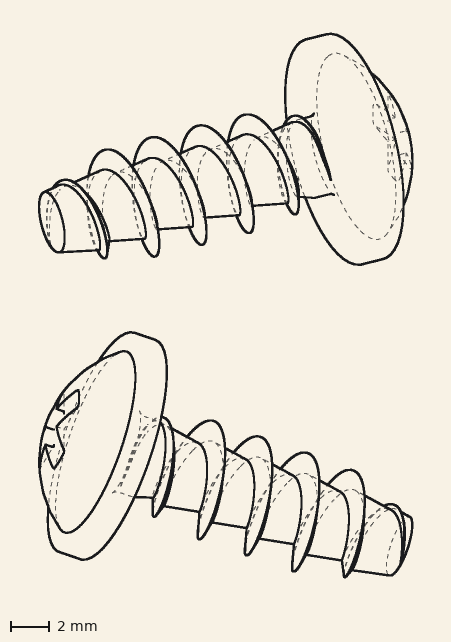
import cadquery as cq
import math


flange_radius = 6.0
flange_thickness = 1.35
flange_edge_fillet = 0.1
dome_base_radius = 4.95
dome_apex = 3.95
slot_width = 1.37
slot_floor = 3.42
slot_floor_fillet = 0.1

neck_radius = 2.07
neck_fillet = 0.75
neck_depth = 1.53
neck_cone_depth = 2.76
neck_cone_radius = 1.7

tip_radius = 1.6
tip_face_radius = 1.5
tip_rim_depth = 15.93
tip_apex_depth = 15.99
tip_cone_slope = 0.18

pitch = 2.68
thread_radius = 3.02
crest_width = 0.02
first_crest_depth = 1.89
run_in_turn = -0.4
run_in_radius = 2.15
full_start_turn = 0.9
fade_start_turn = 3.8
fade_end_turn = 5.2
fade_end_radius = 1.63
tooth_foot_drop = 0.55
upper_foot_offset = 0.52
lower_foot_offset = 0.48

root_high_radius = 2.05
root_low_radius = 1.6
least_crest_height = 0.01

first_turn = -1.6
turn_count = 7
points_per_turn = 16


def revolve_about_axis(profile):
    return profile.close().revolve(360, (0, 0), (0, 1))


def interpolate(value, start, end, start_result, end_result):
    return start_result + (end_result - start_result) * (value - start) / (end - start)


def crest_depth(turn):
    """Depth of the thread crest; the helix levels out over the run-in."""
    if turn > 0:
        return first_crest_depth + pitch * turn
    if turn > run_in_turn:
        return first_crest_depth + pitch * (turn - turn**2 / (2 * run_in_turn))
    return first_crest_depth + pitch * (turn - run_in_turn / 2)


def tip_cone_radius(depth):
    return tip_radius + tip_cone_slope * (tip_rim_depth - depth)


def root_high(turn):
    """Root radius right below the thread turn, limited by the tip cone."""
    return min(root_high_radius, tip_cone_radius(crest_depth(turn)))


def root_slope(turn):
    """Radius lost per unit of depth between this thread turn and the next."""
    next_depth = crest_depth(turn + 1)
    low = min(root_low_radius, tip_cone_radius(next_depth))
    return (root_high(turn) - low) / (next_depth - crest_depth(turn))


def crest_radius(turn):
    """Radius of the thread crest, growing in the run-in and shrinking towards the tip."""
    if turn < full_start_turn:
        radius = interpolate(turn, run_in_turn, full_start_turn, run_in_radius, thread_radius)
    elif turn > fade_start_turn:
        radius = interpolate(turn, fade_start_turn, fade_end_turn, thread_radius, fade_end_radius)
    else:
        radius = thread_radius
    return max(radius, root_high(turn) + least_crest_height)


def tooth_height(turn):
    return crest_radius(turn) - root_high(turn) + tooth_foot_drop


def upper_root(turn):
    """Radius and depth where the upper flank meets the root of the turn above."""
    slope = root_slope(turn - 1)
    low = root_high(turn - 1) - slope * (crest_depth(turn) - crest_depth(turn - 1))
    offset = (crest_radius(turn) - low) / (slope + tooth_height(turn) / upper_foot_offset)
    return low + slope * offset, crest_depth(turn) - crest_width / 2 - offset


def upper_crest(turn):
    return crest_radius(turn), crest_depth(turn) - crest_width / 2


def lower_crest(turn):
    return crest_radius(turn), crest_depth(turn) + crest_width / 2


def lower_root(turn):
    """Radius and depth where the lower flank meets the root below."""
    slope = root_slope(turn)
    rise = crest_radius(turn) - root_high(turn)
    offset = rise / (tooth_height(turn) / lower_foot_offset - slope)
    return root_high(turn) - slope * offset, crest_depth(turn) + crest_width / 2 + offset


def next_upper_root(turn):
    return upper_root(turn + 1)


def upper_axis(turn):
    return 0, upper_root(turn)[1]


def lower_axis(turn):
    return 0, next_upper_root(turn)[1]


SECTION = [upper_root, upper_crest, lower_crest, lower_root, next_upper_root]


def helix_point(corner, turn):
    """Point of a section corner on the right-handed helix around Y."""
    radius, depth = corner(turn)
    angle = 2 * math.pi * turn
    return cq.Vector(-radius * math.cos(angle), -depth, -radius * math.sin(angle))


def helix_edge(corner, start_turn):
    """Curve of a section corner over one turn; a straight line on the axis."""
    turns = [start_turn + step / points_per_turn for step in range(points_per_turn + 1)]
    points = [helix_point(corner, turn) for turn in turns]
    return cq.Edge.makeSpline(points)


def section_face(turn):
    """Flat axial section of the helical body over one pitch."""
    corners = [upper_axis] + SECTION + [lower_axis]
    points = [helix_point(corner, turn) for corner in corners]
    return cq.Face.makeFromWires(cq.Wire.makePolygon(points, close=True))


def ruled_face(first_corner, second_corner, turn):
    return cq.Face.makeRuledSurface(helix_edge(first_corner, turn), helix_edge(second_corner, turn))


def make_head():
    flange = cq.Workplane("XZ").circle(flange_radius).extrude(-flange_thickness)
    flange = flange.edges().fillet(flange_edge_fillet)

    dome_height = dome_apex - flange_thickness
    sphere_radius = (dome_base_radius**2 + dome_height**2) / (2 * dome_height)
    sphere_center = dome_apex - sphere_radius
    half_angle = math.asin(dome_base_radius / sphere_radius) / 2
    mid_point = (sphere_radius * math.sin(half_angle), sphere_center + sphere_radius * math.cos(half_angle))
    dome = revolve_about_axis(
        cq.Workplane("XY")
        .moveTo(0, flange_thickness / 2)
        .lineTo(dome_base_radius, flange_thickness / 2)
        .lineTo(dome_base_radius, flange_thickness)
        .threePointArc(mid_point, (0, dome_apex))
    )
    return flange.union(dome)


def cut_cross_slots(body):
    slot_height = dome_apex - slot_floor
    slot = (
        cq.Workplane("XY")
        .box(slot_width, slot_height, 2 * flange_radius, centered=(True, False, True))
        .edges("|Z and <Y")
        .fillet(slot_floor_fillet)
        .translate((0, slot_floor, 0))
    )
    for angle in (0, 90):
        body = body.cut(slot.rotate((0, 0, 0), (0, 1, 0), angle))
    return body


def make_neck():
    """Neck with its fillet under the head, and the short cone that runs out into the root."""
    fillet_sag = neck_fillet * (1 - math.cos(math.pi / 4))
    return revolve_about_axis(
        cq.Workplane("XY")
        .moveTo(0, flange_thickness / 2)
        .lineTo(neck_radius + neck_fillet, flange_thickness / 2)
        .lineTo(neck_radius + neck_fillet, 0)
        .threePointArc((neck_radius + fillet_sag, -fillet_sag), (neck_radius, -neck_fillet))
        .lineTo(neck_radius, -neck_depth)
        .lineTo(neck_cone_radius, -neck_cone_depth)
        .lineTo(0, -neck_cone_depth)
    )


def make_threaded_body():
    """Thread and tapering root as one closed helical body, trimmed at the tip."""
    last_turn = first_turn + turn_count - 1
    faces = [
        section_face(first_turn),
        ruled_face(upper_axis, upper_root, first_turn),
        ruled_face(lower_axis, next_upper_root, last_turn),
        section_face(last_turn + 1),
    ]
    for index in range(turn_count):
        for first_corner, second_corner in zip(SECTION, SECTION[1:]):
            faces.append(ruled_face(first_corner, second_corner, first_turn + index))
    body = cq.Workplane(cq.Solid.makeSolid(cq.Shell.makeShell(faces)).fix())

    envelope_radius = 2 * thread_radius
    envelope = revolve_about_axis(
        cq.Workplane("XY")
        .moveTo(0, flange_thickness / 2)
        .lineTo(envelope_radius, flange_thickness / 2)
        .lineTo(envelope_radius, -tip_rim_depth)
        .lineTo(tip_face_radius, -tip_rim_depth)
        .lineTo(0, -tip_apex_depth)
    )
    return body.intersect(envelope)


head = cut_cross_slots(make_head())
result = head.union(make_neck()).union(make_threaded_body())